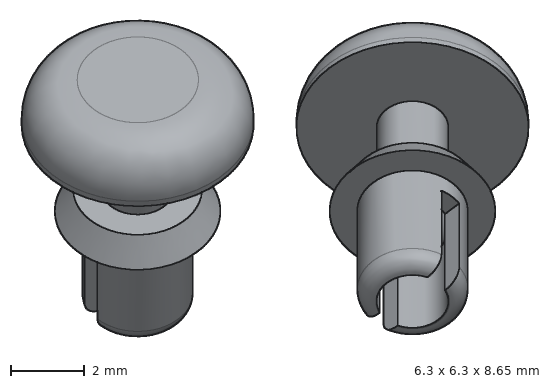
import cadquery as cq

total_height = 8.65
head_height = 1.7
collar_top = 4.45
collar_height = 0.84

head_diameter = 6.3
head_rounding = 1.505
shank_diameter = 1.95

sleeve_diameter = 3.0
collar_top_diameter = 3.495
collar_bottom_diameter = 4.5
sleeve_rounding = 0.5
slot_width = 0.675
slot_height = 3.045

head_bottom = total_height - head_height
collar_bottom = collar_top - collar_height
shank_radius = shank_diameter / 2
tip_center = slot_height


def make_pin():
    """Mushroom head on a shank that ends in a hemisphere."""
    head = (
        cq.Workplane("XY", origin=(0, 0, head_bottom))
        .circle(head_diameter / 2)
        .extrude(head_height)
        .faces(">Z")
        .edges()
        .fillet(head_rounding)
    )
    shank = (
        cq.Workplane("XY", origin=(0, 0, tip_center))
        .circle(shank_radius)
        .extrude(head_bottom - tip_center)
    )
    tip = cq.Workplane("XY", origin=(0, 0, tip_center)).sphere(shank_radius)
    return head.union(shank).union(tip)


def make_sleeve():
    """Bored tube with a conical collar, split at the bottom by a slot along Y."""
    tube = (
        cq.Workplane("XY")
        .circle(sleeve_diameter / 2)
        .extrude(collar_top)
        .faces("<Z")
        .edges()
        .fillet(sleeve_rounding)
    )
    collar = (
        cq.Workplane("XY", origin=(0, 0, collar_bottom))
        .circle(collar_bottom_diameter / 2)
        .workplane(offset=collar_height)
        .circle(collar_top_diameter / 2)
        .loft(ruled=True)
    )
    bore = cq.Workplane("XY").circle(shank_radius).extrude(collar_top)
    slot = cq.Workplane("XY").box(
        slot_width, sleeve_diameter, slot_height, centered=(True, True, False)
    )
    return tube.union(collar).cut(bore).cut(slot)


pin = make_pin()
sleeve = make_sleeve()

result = cq.Compound.makeCompound([pin.solids().val(), sleeve.solids().val()])